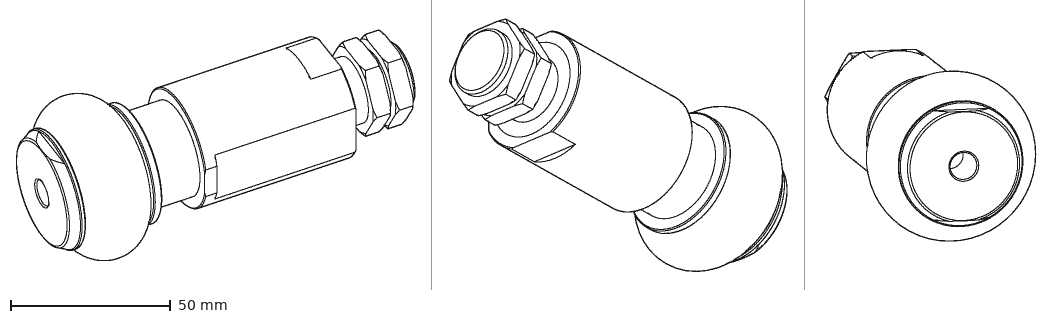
import cadquery as cq

TOTAL_LENGTH = 126.5

FLANGE_DIAMETER = 40.0
HEAD_FACE_DIAMETER = 35.7
HEAD_CONE_LENGTH = 3.5
HEAD_EDGE_CHAMFER = 0.5
HEAD_FLAT_HEIGHT = 17.5
HEAD_COLLAR_LENGTH = 1.8
REAR_FLANGE_LENGTH = 2.9
FLANGE_CHAMFER = 0.4
JOURNAL_DIAMETER = 23.0
STEM_DIAMETER = 32.0
STUD_DIAMETER = 22.0
STUD_CHAMFER = 0.9
HOLE_DIAMETER = 8.6
HOLE_MOUTH_CHAMFER = 0.5
HOLE_DEPTH = 19.0

ROLLER_DIAMETER = 53.9
ROLLER_WIDTH = 24.0

SLEEVE_DIAMETER = FLANGE_DIAMETER
SLEEVE_FRONT = 47.6
SLEEVE_LENGTH = 54.1
SLEEVE_CHAMFER = 0.4
SLEEVE_FLAT_HEIGHT = 18.1
SLEEVE_FLAT_LENGTH = 11.1
SIDE_FLAT_DISTANCE = 17.8
SIDE_LUG_DISTANCE = 19.2
SIDE_LUG_LENGTH = 4.3

NUT_COUNT = 2
NUT_ACROSS_CORNERS = 31.2
NUT_THICKNESS = 6.1
NUT_FACE_DIAMETER = 28.6
NUT_CHAMFER_LENGTH = 0.6
NUT_GAP = 1.9
NUT_END_DISTANCE = 2.9

COLLAR_REAR = HEAD_CONE_LENGTH + HEAD_COLLAR_LENGTH
ROLLER_REAR = COLLAR_REAR + ROLLER_WIDTH
REAR_FLANGE_REAR = ROLLER_REAR + REAR_FLANGE_LENGTH
SLEEVE_REAR = SLEEVE_FRONT + SLEEVE_LENGTH


def disc(diameter, front, rear):
    """Cylinder on the Y axis between two Y positions."""
    return cq.Workplane("XZ", origin=(0, front, 0)).circle(diameter / 2).extrude(front - rear)


def revolved(points):
    """Solid of revolution about Y from a closed (radius, y) outline."""
    return cq.Workplane("XY").polyline(points).close().revolve(360, (0, 0), (0, 1))


def block_beyond(distance, front, rear, angle):
    """Cutting block past a flat at `distance` from the axis, turned from +X by `angle` about Y."""
    size = 2 * FLANGE_DIAMETER
    block = cq.Workplane("XY").box(size, rear - front, size, centered=(False, False, True))
    return block.translate((distance, front, 0)).rotate((0, 0, 0), (0, 1, 0), angle)


def flange(front, length):
    return disc(FLANGE_DIAMETER, front, front + length).edges().chamfer(FLANGE_CHAMFER)


def make_axle():
    cone = revolved([
        (0, 0),
        (HEAD_FACE_DIAMETER / 2, 0),
        (FLANGE_DIAMETER / 2 - FLANGE_CHAMFER, HEAD_CONE_LENGTH),
        (0, HEAD_CONE_LENGTH),
    ]).faces("<Y").edges().chamfer(HEAD_EDGE_CHAMFER)
    for angle in (90, -90):
        cone = cone.cut(block_beyond(HEAD_FLAT_HEIGHT, 0, HEAD_CONE_LENGTH, angle))

    stud = disc(STUD_DIAMETER, SLEEVE_REAR, TOTAL_LENGTH).faces(">Y").edges().chamfer(STUD_CHAMFER)
    axle = (
        cone
        .union(flange(HEAD_CONE_LENGTH, HEAD_COLLAR_LENGTH))
        .union(disc(JOURNAL_DIAMETER, COLLAR_REAR, ROLLER_REAR))
        .union(flange(ROLLER_REAR, REAR_FLANGE_LENGTH))
        .union(disc(STEM_DIAMETER, REAR_FLANGE_REAR, SLEEVE_REAR))
        .union(stud)
    )
    mouth_radius = HOLE_DIAMETER / 2 + HOLE_MOUTH_CHAMFER
    hole = revolved([
        (0, 0),
        (mouth_radius, 0),
        (HOLE_DIAMETER / 2, HOLE_MOUTH_CHAMFER),
        (HOLE_DIAMETER / 2, HOLE_DEPTH),
        (0, HOLE_DEPTH),
    ])
    return axle.cut(hole)


def make_roller():
    rim_radius = ROLLER_WIDTH / 2
    bore_radius = JOURNAL_DIAMETER / 2
    side_radius = ROLLER_DIAMETER / 2 - rim_radius
    return (
        cq.Workplane("XY")
        .moveTo(bore_radius, COLLAR_REAR)
        .lineTo(side_radius, COLLAR_REAR)
        .threePointArc((ROLLER_DIAMETER / 2, COLLAR_REAR + rim_radius), (side_radius, ROLLER_REAR))
        .lineTo(bore_radius, ROLLER_REAR)
        .close()
        .revolve(360, (0, 0), (0, 1))
    )


def make_sleeve():
    sleeve = disc(SLEEVE_DIAMETER, SLEEVE_FRONT, SLEEVE_REAR).edges().chamfer(SLEEVE_CHAMFER)
    sleeve = sleeve.cut(disc(STEM_DIAMETER, SLEEVE_FRONT, SLEEVE_REAR))
    for angle in (90, -90):
        flat_front = SLEEVE_REAR - SLEEVE_FLAT_LENGTH
        sleeve = sleeve.cut(block_beyond(SLEEVE_FLAT_HEIGHT, flat_front, SLEEVE_REAR, angle))
    lug_rear = SLEEVE_FRONT + SIDE_LUG_LENGTH
    sleeve = sleeve.cut(block_beyond(SIDE_FLAT_DISTANCE, lug_rear, SLEEVE_REAR, 0))
    return sleeve.cut(block_beyond(SIDE_LUG_DISTANCE, SLEEVE_FRONT, lug_rear, 0))


def make_nut(rear):
    front = rear - NUT_THICKNESS
    corner_radius = NUT_ACROSS_CORNERS / 2
    face_radius = NUT_FACE_DIAMETER / 2
    hexagon = (
        cq.Workplane("XZ", origin=(0, front, 0))
        .polygon(6, NUT_ACROSS_CORNERS)
        .extrude(-NUT_THICKNESS)
    )
    chamfered_envelope = revolved([
        (0, front),
        (face_radius, front),
        (corner_radius, front + NUT_CHAMFER_LENGTH),
        (corner_radius, rear - NUT_CHAMFER_LENGTH),
        (face_radius, rear),
        (0, rear),
    ])
    return hexagon.intersect(chamfered_envelope).cut(disc(STUD_DIAMETER, front, rear))


axle = make_axle()
roller = make_roller()
sleeve = make_sleeve()

rear_nut_rear = TOTAL_LENGTH - NUT_END_DISTANCE
nut_pitch = NUT_THICKNESS + NUT_GAP
nuts = [make_nut(rear_nut_rear - index * nut_pitch) for index in range(NUT_COUNT)]

result = cq.Compound.makeCompound([
    axle.val(),
    roller.val(),
    sleeve.val(),
    *[nut.val() for nut in nuts],
])